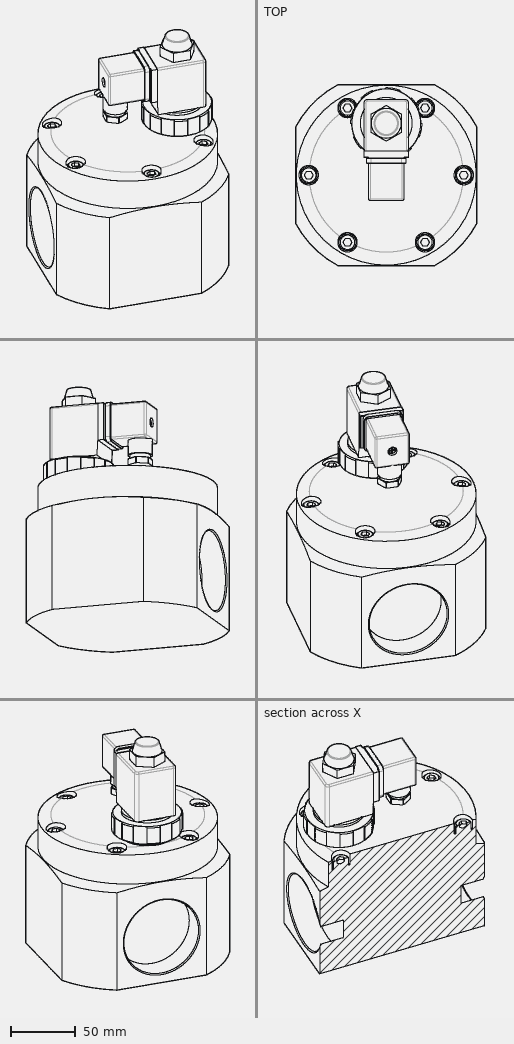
import cadquery as cq
import math

overall_height = 192.5

body_width = 140.0
body_corner_radius = 79.3
body_shoulder_height = 83.0
body_height = 86.0
port_diameter = 62.2
port_chamfer = 1.0
port_depth = 20.0
port_height = 38.9

cover_diameter = 139.0
cover_edge_height = 110.9
cover_height = 113.0
cover_flat_diameter = 119.0

screw_count = 6
screw_circle_radius = 59.9
screw_pocket_diameter = 15.0
screw_pocket_floor = 102.0
screw_head_diameter = 13.0
screw_head_chamfer = 1.0
screw_head_top = 110.1
socket_flats = 6.0
socket_depth = 2.7
socket_tip_depth = 1.7

pilot_y = 40.0
stem_diameter = 42.0
stem_chamfer = 1.0
collar_diameter = 40.0
nut_diameter = 55.0
nut_bottom = 117.2
nut_top = 132.5
nut_chamfer = 1.0
nut_recess_count = 8
nut_recess_depth = 0.8

coil_width = 34.3
coil_back_y = 58.5
coil_front_y = 18.5
coil_front_draft = 0.8
coil_bottom = 134.5
coil_top = 176.3
coil_back_fillet = 2.7
coil_top_fillet = 1.3

cap_hex_flats = 23.9
cap_hex_top = 184.6
cap_base_diameter = 23.1
cap_top_diameter = 18.5
cap_fillet = 0.8

pad_width = 34.5
pad_bottom = 146.5
pad_top = 176.0
pad_front_y = 13.5
pad_chamfer = 0.4
flange_width = 30.5
flange_bottom = 145.7
flange_top = 177.1
flange_front_y = 9.0
flange_fillet = 3.5
flange_chamfer = 0.2
gasket_inset = 1.2
gasket_thickness = 0.4
plug_width = 27.3
plug_bottom = 147.5
plug_top = 175.5
plug_front_y = -19.6
plug_fillet = 1.3

plug_screw_height = 161.3
plug_screw_hole_diameter = 7.1
plug_screw_hole_depth = 2.7
plug_screw_head_diameter = 5.0
plug_screw_head_height = 1.5
cross_slot_width = 0.5
cross_slot_depth = 1.2

gland_diameter = 18.9
gland_bottom = 136.0
gland_neck_diameter = 16.0
gland_neck_bottom = 132.8
gland_hex_flats = 17.0
gland_hex_round_diameter = 19.2
gland_hex_bottom = 127.8
gland_hex_chamfer = 0.4

overlap = 2.0


def cylinder(diameter, bottom, top, x=0.0, y=0.0):
    """Upright cylinder between two heights."""
    return cq.Workplane("XY", origin=(x, y, bottom)).circle(diameter / 2).extrude(top - bottom)


def hexagon(flats, bottom, top, x=0.0, y=0.0, turn=0.0):
    """Upright hexagonal prism; its corners point along X unless turned."""
    corners = flats / math.cos(math.pi / 6)
    prism = cq.Workplane("XY").polygon(6, corners).extrude(top - bottom)
    return prism.rotate((0, 0, 0), (0, 0, 1), turn).translate((x, y, bottom))


def block(width, front_y, back_y, bottom, top):
    """Box centred on X between two Y places and two heights."""
    return cq.Workplane("XY").box(
        width, back_y - front_y, top - bottom, centered=(True, False, False)
    ).translate((0, front_y, bottom))


def turned(points):
    """Solid of revolution about Z from (radius, height) points."""
    return cq.Workplane("XZ").polyline(points).close().revolve(360, (0, 0), (0, 1))


def make_body():
    half_width = body_width / 2
    round_blank = turned([
        (0, 0),
        (body_corner_radius, 0),
        (body_corner_radius, body_shoulder_height),
        (cover_diameter / 2, body_height),
        (0, body_height),
    ])
    body = round_blank.intersect(block(body_width, -half_width, half_width, 0, body_height))
    for turn in (0, 180):
        face = cq.Workplane("XZ", origin=(0, -half_width, port_height))
        bore = face.circle(port_diameter / 2).extrude(-port_depth)
        mouth = face.circle(port_diameter / 2 + port_chamfer).extrude(-port_chamfer, taper=45)
        port = bore.union(mouth).rotate((0, 0, 0), (0, 0, 1), turn)
        body = body.cut(port)
    return body


def make_cover():
    return turned([
        (0, body_height - overlap),
        (cover_diameter / 2, body_height - overlap),
        (cover_diameter / 2, cover_edge_height),
        (cover_flat_diameter / 2, cover_height),
        (0, cover_height),
    ])


def make_screw():
    """Socket head screw standing on the pocket floor, on the Z axis."""
    head = cylinder(screw_head_diameter, screw_pocket_floor - overlap, screw_head_top)
    head = head.faces(">Z").edges().chamfer(screw_head_chamfer)
    socket_floor = screw_head_top - socket_depth
    socket_radius = socket_flats / 2 / math.cos(math.pi / 6)
    tip = turned([
        (0, socket_floor - socket_tip_depth),
        (socket_radius, socket_floor),
        (socket_radius, screw_head_top),
        (0, screw_head_top),
    ])
    socket = hexagon(socket_flats, socket_floor - socket_tip_depth, screw_head_top)
    return head.cut(socket.intersect(tip))


def add_screws(part):
    screw = make_screw()
    for i in range(screw_count):
        angle = 2 * math.pi * i / screw_count
        x = screw_circle_radius * math.cos(angle)
        y = screw_circle_radius * math.sin(angle)
        part = part.cut(cylinder(screw_pocket_diameter, screw_pocket_floor, cover_height, x, y))
        part = part.union(screw.translate((x, y, 0)))
    return part


def make_stem():
    """Threaded stem under the ring nut and collar above it."""
    stem = turned([
        (0, cover_height - overlap),
        (stem_diameter / 2 - stem_chamfer, cover_height - overlap),
        (stem_diameter / 2 - stem_chamfer, cover_height),
        (stem_diameter / 2, cover_height + stem_chamfer),
        (stem_diameter / 2, nut_bottom + overlap),
        (0, nut_bottom + overlap),
    ])
    collar = cylinder(collar_diameter, nut_top - overlap, coil_bottom)
    return stem.union(collar).translate((0, pilot_y, 0))


def make_ring_nut():
    """Ring nut whose rim alternates between grips and shallow recesses."""
    nut = cylinder(nut_diameter, nut_bottom, nut_top).edges().chamfer(nut_chamfer)
    recess_angle = 180.0 / nut_recess_count
    inner_radius = nut_diameter / 2 - nut_recess_depth
    recess = (
        cq.Workplane("XZ", origin=(0, 0, nut_bottom))
        .moveTo(inner_radius, 0)
        .rect(2 * nut_recess_depth, nut_top - nut_bottom, centered=False)
        .revolve(recess_angle, (0, 0), (0, 1))
    )
    for i in range(nut_recess_count):
        nut = nut.cut(recess.rotate((0, 0, 0), (0, 0, 1), 2 * recess_angle * i))
    return nut.translate((0, pilot_y, 0))


def make_coil():
    """Coil housing whose front face is drafted below the connector pad."""
    coil = (
        cq.Workplane("YZ", origin=(-coil_width / 2, 0, 0))
        .moveTo(coil_front_y, coil_top)
        .lineTo(coil_back_y, coil_top)
        .lineTo(coil_back_y, coil_bottom)
        .lineTo(coil_front_y + coil_front_draft, coil_bottom)
        .lineTo(coil_front_y, pad_bottom)
        .close()
        .extrude(coil_width)
    )
    coil = coil.edges("|Z and >Y").fillet(coil_back_fillet)
    return coil.faces(">Z").edges("not <Y").fillet(coil_top_fillet)


def make_cap():
    hex_nut = hexagon(cap_hex_flats, coil_top - overlap, cap_hex_top, turn=90)
    cone = turned([
        (0, cap_hex_top - overlap),
        (cap_base_diameter / 2, cap_hex_top - overlap),
        (cap_base_diameter / 2, cap_hex_top),
        (cap_top_diameter / 2, overall_height),
        (0, overall_height),
    ])
    cone = cone.faces(">Z").edges().fillet(cap_fillet)
    return hex_nut.union(cone).translate((0, pilot_y, 0))


def make_plug():
    """Connector pad, gasket, flange and plug housing in front of the coil."""
    pad = block(pad_width, pad_front_y, coil_front_y, pad_bottom, pad_top)
    pad = pad.faces("<Y").edges().chamfer(pad_chamfer)
    gasket = block(
        flange_width - 2 * gasket_inset,
        pad_front_y - gasket_thickness,
        pad_front_y + overlap,
        flange_bottom + gasket_inset,
        flange_top - gasket_inset,
    )
    gasket = gasket.intersect(block(pad_width, flange_front_y, coil_front_y, pad_bottom, pad_top))
    flange_back_y = pad_front_y - gasket_thickness
    flange = block(flange_width, flange_front_y, flange_back_y, flange_bottom, flange_top)
    flange = flange.edges("|Y").fillet(flange_fillet)
    flange = flange.faces("<Y or >Y").edges().chamfer(flange_chamfer)
    housing = block(plug_width, plug_front_y, flange_front_y + overlap, plug_bottom, plug_top)
    housing = housing.edges("|Y or <Y").fillet(plug_fillet)
    return pad.union(gasket).union(flange).union(housing)


def add_plug_screw(part):
    """Sunken cross-slotted screw in the front face of the plug."""
    front = cq.Workplane("XZ", origin=(0, plug_front_y, plug_screw_height))
    part = part.cut(front.circle(plug_screw_hole_diameter / 2).extrude(-plug_screw_hole_depth))
    floor = cq.Workplane("XZ", origin=(0, plug_front_y + plug_screw_hole_depth, plug_screw_height))
    head = floor.circle(plug_screw_head_diameter / 2).extrude(plug_screw_head_height)
    head_face = floor.workplane(offset=plug_screw_head_height)
    across = head_face.rect(plug_screw_head_diameter, cross_slot_width).extrude(-cross_slot_depth)
    upright = head_face.rect(cross_slot_width, plug_screw_head_diameter).extrude(-cross_slot_depth)
    return part.union(head.cut(across).cut(upright))


def make_gland():
    """Cable gland hanging under the plug, flush with its front face."""
    gland_y = plug_front_y + gland_diameter / 2
    sleeve = cylinder(gland_diameter, gland_bottom, plug_bottom + 2 * overlap, 0, gland_y)
    neck = cylinder(gland_neck_diameter, gland_neck_bottom, gland_bottom, 0, gland_y)
    nut = hexagon(gland_hex_flats, gland_hex_bottom, gland_neck_bottom, 0, gland_y)
    nut_blank = cylinder(gland_hex_round_diameter, gland_hex_bottom, gland_neck_bottom, 0, gland_y)
    nut = nut.intersect(nut_blank.edges().chamfer(gland_hex_chamfer))
    return sleeve.union(neck).union(nut)


result = add_screws(make_body().union(make_cover()))
for piece in (make_stem(), make_ring_nut(), make_coil(), make_cap(), make_plug(), make_gland()):
    result = result.union(piece)
result = add_plug_screw(result)